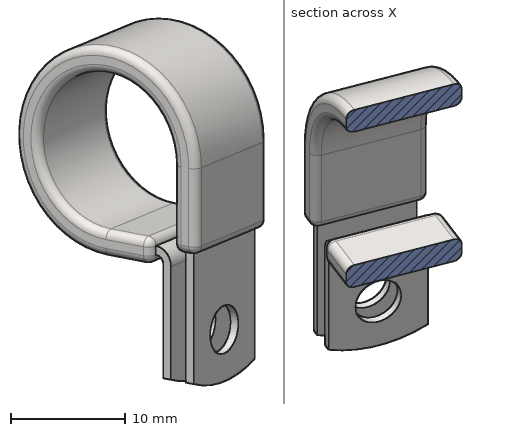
import cadquery as cq
import math


loop_inner_diameter = 14.2875
cushion_wall = 0.79375
strap_thickness = 0.81
strap_width = 9.525
vertical_leg_length = 7.9375
horizontal_leg_length = 4.7625
tab_gap = 1.5875
tab_bottom_z = -20.81
tab_end_radius = 12.7
hole_diameter = 4.366
hole_edge_distance = 4.7625

cushion_thickness = strap_thickness + 2 * cushion_wall
cushion_width = strap_width + 2 * cushion_wall
loop_inner_radius = loop_inner_diameter / 2
loop_outer_radius = loop_inner_radius + cushion_thickness
strap_inner_radius = loop_inner_radius + cushion_wall
strap_outer_radius = strap_inner_radius + strap_thickness
bent_tab_outer_x = strap_inner_radius - tab_gap
bend_outer_radius = bent_tab_outer_x - horizontal_leg_length
bend_inner_radius = bend_outer_radius - strap_thickness
hole_z = tab_bottom_z + hole_edge_distance


def centered_extrusion(profile, width):
    """Extrude an XZ profile symmetrically about the Y = 0 plane."""
    return profile.extrude(width / 2, both=True)


def loop_profile(inner_radius, outer_radius, vertical_end_z, horizontal_end_x):
    """Three-quarter ring with a vertical leg on +X and a horizontal leg at the bottom."""
    arc_middle_angle = math.radians(135)

    def arc_middle(radius):
        return radius * math.cos(arc_middle_angle), radius * math.sin(arc_middle_angle)

    return (
        cq.Workplane("XZ")
        .moveTo(outer_radius, vertical_end_z)
        .lineTo(outer_radius, 0)
        .threePointArc(arc_middle(outer_radius), (0, -outer_radius))
        .lineTo(horizontal_end_x, -outer_radius)
        .lineTo(horizontal_end_x, -inner_radius)
        .lineTo(0, -inner_radius)
        .threePointArc(arc_middle(inner_radius), (inner_radius, 0))
        .lineTo(inner_radius, vertical_end_z)
        .close()
    )


def make_cushion():
    """Cushion body with every side and end edge rounded by the wall thickness."""
    profile = loop_profile(
        loop_inner_radius, loop_outer_radius, -vertical_leg_length, horizontal_leg_length
    )
    body = centered_extrusion(profile, cushion_width)
    side_edges = body.faces("<Y or >Y").edges()
    end_corners = [
        (loop_inner_radius, -vertical_leg_length),
        (loop_outer_radius, -vertical_leg_length),
        (horizontal_leg_length, -loop_inner_radius),
        (horizontal_leg_length, -loop_outer_radius),
    ]
    rounded_edges = side_edges
    for x, z in end_corners:
        corner_edge = body.edges(cq.selectors.NearestToPointSelector((x, 0, z)))
        rounded_edges = rounded_edges.add(corner_edge)
    return rounded_edges.fillet(cushion_wall)


def make_strap():
    """Metal strap through the cushion, ending in one straight and one bent tab."""
    loop = loop_profile(
        strap_inner_radius, strap_outer_radius, tab_bottom_z, horizontal_leg_length
    )
    bend_center_z = -strap_inner_radius - bend_outer_radius
    bent_tab = (
        cq.Workplane("XZ")
        .moveTo(horizontal_leg_length, -strap_inner_radius)
        .radiusArc((bent_tab_outer_x, bend_center_z), bend_outer_radius)
        .lineTo(bent_tab_outer_x, tab_bottom_z)
        .lineTo(bent_tab_outer_x - strap_thickness, tab_bottom_z)
        .lineTo(bent_tab_outer_x - strap_thickness, bend_center_z)
        .radiusArc((horizontal_leg_length, -strap_outer_radius), -bend_inner_radius)
        .close()
    )
    return centered_extrusion(loop, strap_width).union(centered_extrusion(bent_tab, strap_width))


def make_tab_envelope():
    """Side outline of the strap: straight sides and a rounded lower end, extruded along X."""
    half_width = strap_width / 2
    end_sag = tab_end_radius - math.sqrt(tab_end_radius**2 - half_width**2)
    corner_z = tab_bottom_z + end_sag
    outline = (
        cq.Workplane("YZ")
        .moveTo(-half_width, loop_outer_radius)
        .lineTo(-half_width, corner_z)
        .threePointArc((0, tab_bottom_z), (half_width, corner_z))
        .lineTo(half_width, loop_outer_radius)
        .close()
    )
    return outline.extrude(loop_outer_radius, both=True)


def make_bolt_hole():
    """Bolt hole cutter through both tabs along X."""
    return (
        cq.Workplane("YZ")
        .center(0, hole_z)
        .circle(hole_diameter / 2)
        .extrude(loop_outer_radius)
    )


strap = make_strap().intersect(make_tab_envelope()).cut(make_bolt_hole())
result = make_cushion().union(strap)